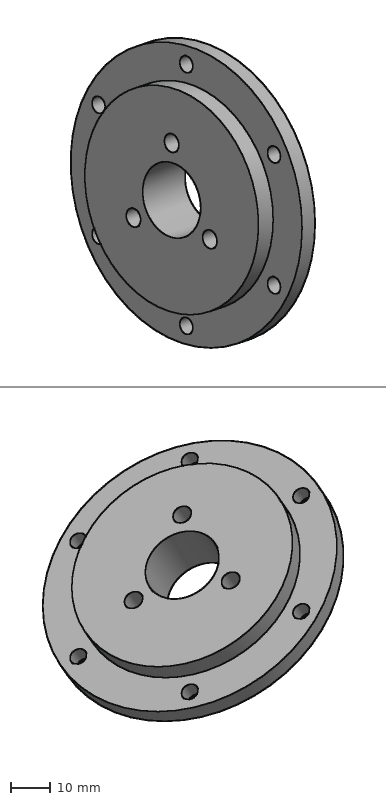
import cadquery as cq

flange_diameter = 80.0
hub_diameter = 60.0
bore_diameter = 20.0
total_thickness = 16.0
hub_height = 5.5
flange_thickness = total_thickness - 2 * hub_height

flange_hole_count = 6
flange_hole_diameter = 4.5
flange_hole_circle_diameter = 70.0

hub_hole_count = 3
hub_hole_diameter = 5.0
hub_hole_circle_diameter = 30.5

first_hole_angle = 90


def centred_disc(diameter, thickness):
    """Disc about the Y axis, with its thickness centred on the XZ plane."""
    back_face = cq.Workplane("XZ", origin=(0, thickness / 2, 0))
    return back_face.circle(diameter / 2).extrude(thickness)


def hole_circle(circle_diameter, hole_diameter, count):
    """Evenly spaced cylinders that cut through the full thickness."""
    return (
        cq.Workplane("XZ", origin=(0, total_thickness / 2, 0))
        .polarArray(circle_diameter / 2, first_hole_angle, 360, count)
        .circle(hole_diameter / 2)
        .extrude(total_thickness)
    )


flange = centred_disc(flange_diameter, flange_thickness)
hub = centred_disc(hub_diameter, total_thickness)
body = flange.union(hub)

bore = centred_disc(bore_diameter, total_thickness)
flange_holes = hole_circle(flange_hole_circle_diameter, flange_hole_diameter, flange_hole_count)
hub_holes = hole_circle(hub_hole_circle_diameter, hub_hole_diameter, hub_hole_count)

result = body.cut(bore).cut(flange_holes).cut(hub_holes)